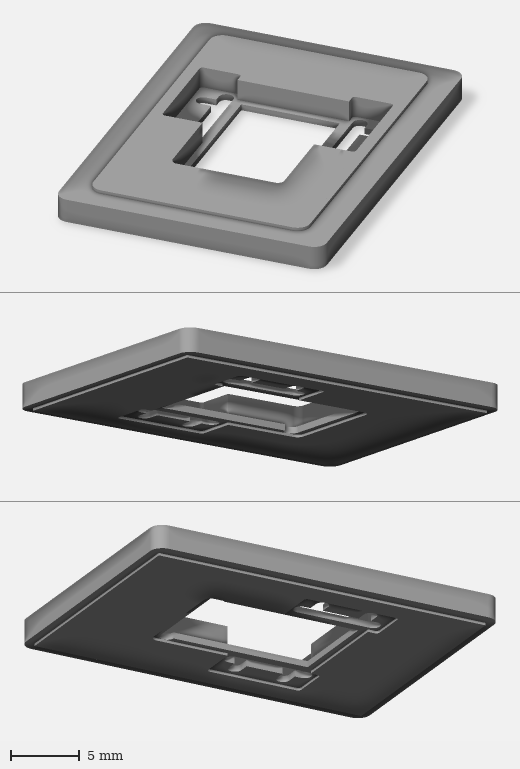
import cadquery as cq

length = 28.5
width = 21.0
plate_thickness = 1.85
corner_radius = 1.0

pad_width = 17.01
pad_length = 25.0
pad_height = 0.28
step_inset_x = 1.0
step_inset_y = 0.7
step_height = 0.2

floor_thickness = 0.48
bay_width = 8.75
bay_top = 6.58
bay_bottom = -6.73
bay_radius = 0.5
ear_span = 15.15
ear_length = 7.72
ear_center_y = 3.53
ear_inner_x = bay_width / 2
ear_radius = 0.25

window_width = 7.72
window_top = 6.05
window_bottom = -6.2
relief_height = 1.15

slot_x = 5.25
slot_length = 7.12
slot_width = 1.15
branch_width = 1.03
branch_spacing = 4.0
branch_outer_x = 7.18

floor_top = step_height + floor_thickness
plate_top = step_height + plate_thickness
total_height = plate_top + pad_height


def block(size_x, size_y, bottom, top, center_x=0, center_y=0):
    """Rectangular block between two heights."""
    return (
        cq.Workplane("XY", origin=(center_x, center_y, bottom))
        .rect(size_x, size_y)
        .extrude(top - bottom)
    )


def slot(size, diameter, center_x, center_y, angle=0):
    """Round-ended cutter through the full height."""
    return (
        cq.Workplane("XY", origin=(center_x, center_y, 0))
        .slot2D(size, diameter, angle)
        .extrude(total_height)
    )


def make_body():
    step = block(width - 2 * step_inset_x, length - 2 * step_inset_y, 0, step_height)
    plate = block(width, length, step_height, plate_top).edges("|Z").fillet(corner_radius)
    pad = block(pad_width, pad_length, plate_top, total_height).edges("|Z").fillet(corner_radius)
    return step.union(plate).union(pad)


def make_pocket(bottom, top):
    """Bay and ears as one cutter between two heights."""
    bay = block(
        bay_width, bay_top - bay_bottom, bottom, top,
        center_y=(bay_top + bay_bottom) / 2,
    )
    pocket = bay.edges("|Z and <Y").fillet(bay_radius)
    ear_width = ear_span / 2 - ear_inner_x
    for side in (-1, 1):
        ear_x = side * (ear_inner_x + ear_width / 2)
        ear = block(ear_width, ear_length, bottom, top, ear_x, ear_center_y)
        outer_face = ">X" if side > 0 else "<X"
        rounded_edges = ear.edges(f"|Z and (>Y or {outer_face})")
        pocket = pocket.union(rounded_edges.fillet(ear_radius))
    return pocket


def make_window():
    window = block(
        window_width, window_top - window_bottom, 0, total_height,
        center_y=(window_top + window_bottom) / 2,
    )
    relief = slot(bay_width, relief_height, 0, window_bottom + relief_height / 2)
    return window.union(relief)


def make_ear_slots(side):
    slots = slot(slot_length, slot_width, side * slot_x, ear_center_y, 90)
    branch_length = branch_outer_x - slot_x + slot_width / 4
    branch_x = side * (branch_outer_x - branch_length / 2)
    for offset in (-branch_spacing / 2, branch_spacing / 2):
        slots = slots.union(slot(branch_length, branch_width, branch_x, ear_center_y + offset))
    return slots


result = make_body()
result = result.cut(make_pocket(floor_top, total_height))
result = result.cut(make_pocket(0, step_height))
result = result.cut(make_window())
for ear_side in (-1, 1):
    result = result.cut(make_ear_slots(ear_side))